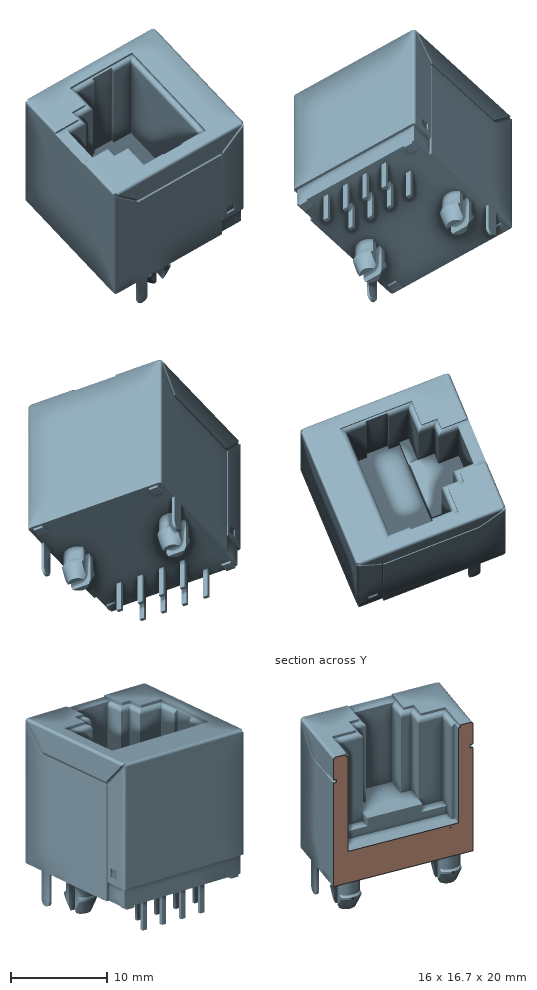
import cadquery as cq
import math


width = 16.0
depth = 16.7
total_height = 20.0
leg_length = 3.8
height = total_height - leg_length
half_width = width / 2

sheet = 0.3
core_half_width = half_width - sheet
core_top = height - sheet
core_rear = depth - sheet
rear_plate_bottom = 2.2

top_flap_edge = 13.35
main_panel_top = 13.02
main_panel_rear = 13.75
rear_flap_edge = 13.9
seam_offset = 0.22

latch_size = 1.05
latch_y = 14.9
latch_z = 3.4
latch_depth = 0.2

wide_half = 5.95
mid_half = 3.15
key_half = 2.0
wide_front = 5.32
mid_front = 3.55
key_front = 1.3
opening_rear = 12.25
lip_radius = 0.5
shield_clearance = 0.05
shield_offset = lip_radius + shield_clearance
main_floor = 4.0
ledge_floor = 5.0
key_floor = 6.0
ledge_rear = 6.35
wall_slot_half = 6.32
wall_slot_front = 7.55
wall_slot_rear = 10.02

tab_width = 1.28
tab_y = 3.55

peg_x = 5.75
peg_y = 6.6
peg_flat_width = 2.35
peg_radius = 1.55
barb_radius = 1.75
peg_tip_radius = 1.08
barb_start = -1.78
barb_top = -1.95
barb_bottom = -2.18
peg_slot_width = 0.98
peg_slot_arc_z = -0.45

pin_count = 8
pin_pitch = 1.27
pin_width = 0.55
pin_thickness = 0.38
pin_length = 3.5
pin_rows = (12.95, 15.5)

pad_size = 1.05
pad_height = 0.25
pad_x = 6.92


def block(x0, x1, y0, y1, z0, z1):
    """Axis-aligned box between two corners."""
    return cq.Workplane("XY").box(x1 - x0, y1 - y0, z1 - z0, centered=False).translate((x0, y0, z0))


def both_sides(solid):
    """The solid together with its mirror image in x."""
    return solid.union(solid.mirror("YZ"))


def side_plate(points):
    """One sheet-thick plate on the +X side, outlined by (y, z) points."""
    plate = cq.Workplane("YZ").polyline(points).close().extrude(sheet)
    return plate.translate((core_half_width, 0, 0))


def side_seams():
    """Everything in the +X sheet layer that is left open between its three panels."""
    main_panel = side_plate([
        (0, 0),
        (main_panel_rear, 0),
        (main_panel_rear, main_panel_top),
        (height - seam_offset - main_panel_top, main_panel_top),
        (0, height - seam_offset),
    ])
    top_flap = side_plate([
        (height + seam_offset - top_flap_edge, top_flap_edge),
        (depth - height - seam_offset + top_flap_edge, top_flap_edge),
        (depth - seam_offset, height),
        (seam_offset, height),
    ])
    rear_flap = side_plate([
        (rear_flap_edge, rear_plate_bottom),
        (depth, rear_plate_bottom),
        (depth, height - seam_offset),
        (rear_flap_edge, height - seam_offset - depth + rear_flap_edge),
    ])
    layer = block(core_half_width, half_width, 0, depth, 0, height)
    return layer.cut(main_panel).cut(top_flap).cut(rear_flap)


def make_shell():
    """Core and shield as one rounded block, with seams, latch recesses and the open rear foot."""
    shell = block(-half_width, half_width, 0, depth, 0, height)
    shell = shell.edges("|Z").fillet(sheet).faces(">Z").edges().fillet(sheet)
    shell = shell.cut(both_sides(side_seams()))
    latch = block(
        half_width - latch_depth, half_width,
        latch_y - latch_size / 2, latch_y + latch_size / 2,
        latch_z - latch_size / 2, latch_z + latch_size / 2,
    )
    shell = shell.cut(both_sides(latch))
    return shell.cut(block(-half_width, half_width, core_rear, depth, 0, rear_plate_bottom))


def lip_profile(plane, low, high, flare_low):
    """Closed section of a pocket whose mouth flares outwards over rounded lips."""
    arc_start = core_top - lip_radius
    sag = lip_radius * (1 - math.sqrt(0.5))
    rise = lip_radius * math.sqrt(0.5)
    section = cq.Workplane(plane).moveTo(low, main_floor).lineTo(high, main_floor)
    section = section.lineTo(high, arc_start)
    section = section.threePointArc((high + sag, arc_start + rise), (high + lip_radius, core_top))
    if flare_low:
        section = section.lineTo(low - lip_radius, core_top)
        section = section.threePointArc((low - sag, arc_start + rise), (low, arc_start))
    else:
        section = section.lineTo(low, core_top)
    return section.close()


def flared_pocket(half, front, rear, flare_front=True):
    """Rectangular pocket down to the main floor, with mitred rounded lips around its mouth."""
    across = lip_profile("XZ", -half, half, True).extrude(-depth)
    along = lip_profile("YZ", front, rear, flare_front).extrude(half_width, both=True)
    return across.intersect(along)


def shield_window(half, front):
    """Rectangular cut through the top sheet around one step of the opening."""
    return block(
        -half - shield_offset, half + shield_offset,
        front, opening_rear + shield_offset,
        core_top, height,
    )


def make_opening():
    """Stepped plug cavity, its wall slots, and the larger window in the top sheet."""
    opening = flared_pocket(wide_half, wide_front, opening_rear)
    opening = opening.union(flared_pocket(mid_half, mid_front, ledge_rear))
    opening = opening.union(flared_pocket(key_half, key_front, ledge_rear, flare_front=False))
    slots = block(
        -wall_slot_half, wall_slot_half, wall_slot_front, wall_slot_rear, main_floor, core_top
    )
    opening = opening.union(slots)
    ledge = block(-wide_half, wide_half, 0, ledge_rear, main_floor, ledge_floor)
    key_ledge = block(-mid_half, mid_half, 0, ledge_rear, main_floor, key_floor)
    opening = opening.cut(ledge).cut(key_ledge)
    opening = opening.union(shield_window(wide_half, wide_front - shield_offset))
    opening = opening.union(shield_window(mid_half, mid_front - shield_offset))
    return opening.union(shield_window(key_half, 0))


def make_tab():
    """Round-ended ground tab continuing the +X side panel downwards."""
    radius = tab_width / 2
    tab = (
        cq.Workplane("YZ")
        .moveTo(tab_y - radius, 0)
        .lineTo(tab_y - radius, radius - leg_length)
        .threePointArc((tab_y, -leg_length), (tab_y + radius, radius - leg_length))
        .lineTo(tab_y + radius, 0)
        .close()
        .extrude(sheet)
    )
    return tab.translate((core_half_width, 0, 0))


def make_peg():
    """Split snap peg with a barbed head and flats on its two x sides."""
    peg = (
        cq.Workplane("XZ")
        .polyline([
            (0, 0),
            (peg_radius, 0),
            (peg_radius, barb_start),
            (barb_radius, barb_top),
            (barb_radius, barb_bottom),
            (peg_tip_radius, -leg_length),
            (0, -leg_length),
        ])
        .close()
        .revolve(360, (0, 0, 0), (0, 1, 0))
    )
    half_flat = peg_flat_width / 2
    half_slot = peg_slot_width / 2
    peg = peg.intersect(block(-half_flat, half_flat, -barb_radius, barb_radius, -leg_length, 0))
    slot = block(-half_flat, half_flat, -half_slot, half_slot, -leg_length, peg_slot_arc_z)
    slot_end = cq.Workplane("YZ").center(0, peg_slot_arc_z).circle(half_slot).extrude(half_flat, both=True)
    return peg.cut(slot).cut(slot_end).translate((peg_x, peg_y, 0))


def make_pads():
    """Standoff pads under the front and rear corners on the +X side."""
    x0 = pad_x - pad_size / 2
    x1 = pad_x + pad_size / 2
    front = block(x0, x1, sheet, sheet + pad_size, -pad_height, 0)
    rear = block(x0, x1, core_rear - pad_size, core_rear, -pad_height, 0)
    return front.union(rear)


def make_pin(index):
    """Contact pin at its place in the staggered double row."""
    x = (index - (pin_count - 1) / 2) * pin_pitch
    y = pin_rows[index % len(pin_rows)]
    return block(
        x - pin_width / 2, x + pin_width / 2,
        y - pin_thickness / 2, y + pin_thickness / 2,
        -pin_length, 0,
    )


result = make_shell().cut(make_opening())
for feature in (make_tab(), make_peg(), make_pads()):
    result = result.union(both_sides(feature))
for pin_index in range(pin_count):
    result = result.union(make_pin(pin_index))